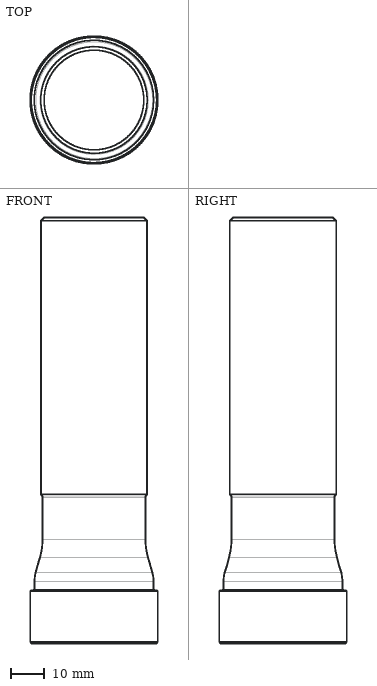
import cadquery as cq
import math

total_length = 127.0
head_radius = 19.0
shank_radius = 15.9
neck_radius = 15.4

head_height = 16.0
head_bottom_chamfer_width = 0.48
head_bottom_chamfer_height = 0.6
head_top_chamfer = 0.4
rim_slope_height = 0.06

collar_top = 18.5
shoulder_top = 21.2
cone_top = 25.8
flare_top = 31.1
shank_bottom = 44.5

cone_angle = math.radians(16)
flare_radius = neck_radius + (flare_top - cone_top) * math.tan(cone_angle / 2)
shoulder_radius = flare_radius + (cone_top - shoulder_top) * math.tan(cone_angle)
collar_radius = shoulder_radius + (shoulder_top - collar_top) * math.tan(cone_angle / 2)

bevel_width = 0.32
bevel_bottom = shank_bottom - bevel_width
bevel_arc_width = shank_radius - bevel_width - neck_radius
bevel_arc_height = bevel_arc_width / math.tan(math.radians(45) / 2)
neck_top = bevel_bottom - bevel_arc_height

end_chamfer = 1.0


def revolve_about_z(outline):
    """Turn a half outline, drawn as radius and height, into a round solid."""
    return outline.close().revolve(360, (0, 0, 0), (0, 1, 0))


def make_head():
    """Chamfered disc; the rim around the collar falls gently outwards."""
    rim_height = head_height - rim_slope_height
    outline = (
        cq.Workplane("XZ")
        .lineTo(head_radius - head_bottom_chamfer_width, 0)
        .lineTo(head_radius, head_bottom_chamfer_height)
        .lineTo(head_radius, rim_height - head_top_chamfer)
        .lineTo(head_radius - head_top_chamfer, rim_height)
        .lineTo(collar_radius, head_height)
        .lineTo(0, head_height)
    )
    return revolve_about_z(outline)


def make_shank_body():
    """Collar, cone, neck and shank in one piece, standing on the head."""
    outline = (
        cq.Workplane("XZ")
        .moveTo(0, head_height)
        .lineTo(collar_radius, head_height)
        .lineTo(collar_radius, collar_top)
        .tangentArcPoint((shoulder_radius, shoulder_top), relative=False)
        .lineTo(flare_radius, cone_top)
        .tangentArcPoint((neck_radius, flare_top), relative=False)
        .lineTo(neck_radius, neck_top)
        .tangentArcPoint((neck_radius + bevel_arc_width, bevel_bottom), relative=False)
        .lineTo(shank_radius, shank_bottom)
        .lineTo(shank_radius, total_length - end_chamfer)
        .lineTo(shank_radius - end_chamfer, total_length)
        .lineTo(0, total_length)
    )
    return revolve_about_z(outline)


head = make_head()
shank_body = make_shank_body()
result = cq.Compound.makeCompound([head.val(), shank_body.val()])